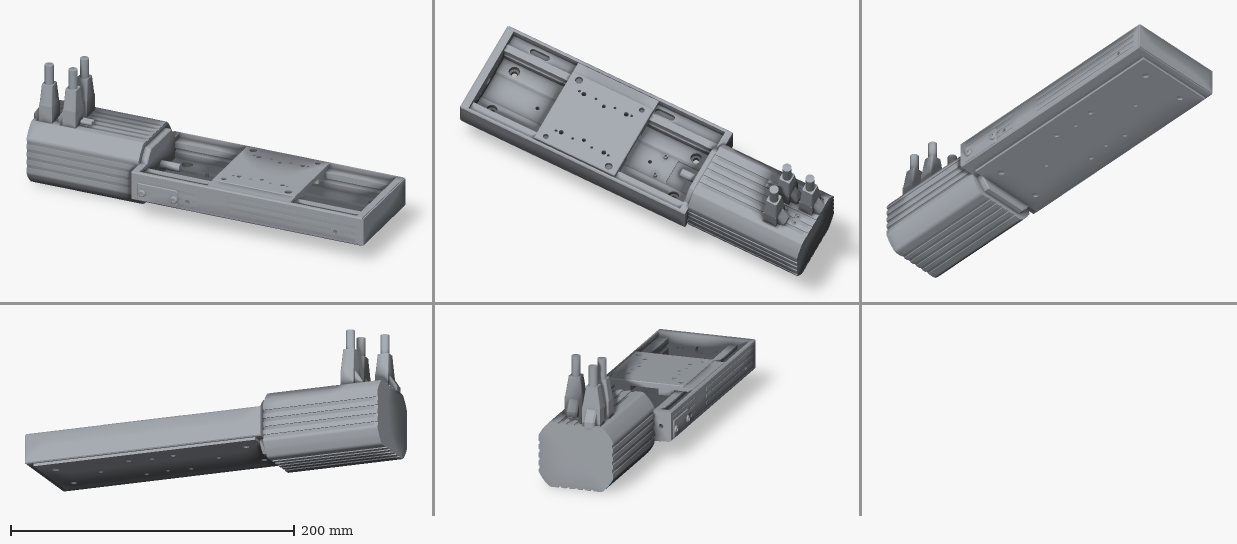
import cadquery as cq


motor_x0 = -133.2
motor_x1 = -46.0
motor_radius = 31.0
motor_half_width = 28.0
motor_half_height = 24.0
motor_edge_radius = 4.0
groove_width = 2.7
groove_depth = 0.8
top_groove_pitch = 6.0
side_groove_pitch = 6.1
side_groove_offset = 1.4

end_plate_thickness = 5.0
flange_radius = 26.25
flange_half_height = 20.0
flange_chamfer = 0.7
flange_screw_diameter = 4.0
flange_screw_height = 3.2
flange_screw_y = 25.9
flange_recess_diameter = 6.5
flange_recess_depth = 2.0
flange_screw_z = -7.0

stage_x0 = motor_x1
stage_x1 = 133.1
housing_y_min = -40.3
housing_y_max = 32.55
housing_half_height = 11.0
housing_chamfer = 0.8
cavity_x0 = stage_x0 + end_plate_thickness
cavity_x1 = stage_x1 - end_plate_thickness
end_cap_x1 = 134.11
end_cap_inset = 0.6

rail_half_width = 30.5
rail_bottom_z = -13.0
rail_top_z = 7.0
rail_wall_inner_y = 23.0
rail_floor_z = -5.5
trough_floor_z = -7.0
trough_half_width = 10.0
trough_top_half_width = trough_half_width + rail_floor_z - trough_floor_z
ball_track_z = 1.0
ball_track_radius = 1.6
relief_x1 = -18.2
relief_depth = 1.0
relief_corner = 1.5
rail_bolt_x = (-28.7, 116.6)
rail_bolt_y = 17.0
rail_bolt_diameter = 4.5
rail_bolt_head_diameter = 8.0
rail_bolt_head_depth = 4.0
dowel_x = (-0.9, 89.0)
dowel_diameter = 2.8
post_x = -9.2
post_y = 8.0
post_diameter = 3.0
post_height = 3.0
post_socket_diameter = 2.0
shaft_diameter = 6.0
shaft_x1 = -26.2

tray_y_min = -37.7
tray_y_max = -28.5
tray_floor_z = 4.0
tray_slot_length = 15.3
tray_slot_width = 4.5
tray_slot_y = -33.0
tray_slot_x = (4.6, 104.7)
tray_slot_depth = 3.0

rib_band_top = 9.0
rib_band_count = 7
rib_band_bottom = -9.0
rib_height = (rib_band_top - rib_band_bottom) / rib_band_count
rib_band_depth = 0.3
label_pad_x0 = 5.4
label_pad_x1 = 30.2
side_screw_x = (-2.6, 112.3)
side_screw_z = -3.9
side_screw_diameter = 3.4
side_screw_socket_diameter = 2.0
side_screw_recess = 0.6

cover_x1 = -9.8
cover_z0 = -10.2
cover_z1 = 3.4
cover_y = -41.0
cover_corner = 1.5
cover_screw_x = (-37.4, -12.6)
cover_screw_diameter = 5.5
cover_screw_socket = 2.46
cover_screw_socket_depth = 1.0
cover_screw_rounding = 1.0
cover_chamfer = 0.5
part_y_min = -42.25

carriage_x = 44.0
carriage_length = 64.5
carriage_half_width = 29.5
carriage_top_z = 12.0
carriage_bottom_z = 8.0
carriage_chamfer = 0.5
carriage_wing_y = -37.3
carriage_wing_z = 11.0
leg_inner_y = 10.5
leg_outer_y = 22.3
leg_bottom_z = 3.5
lug_height = 1.6
table_hole_half_pitch = 17.0
table_hole_diameter = 3.4
table_dowel_y = 15.0
table_dowel_diameter = 2.8
table_tap_y = 17.6
table_tap_offsets = (7.6, 20.9)
table_tap_diameter = 2.0
table_corner_x = 25.1
table_corner_y = 25.0
table_large_diameter = 5.5
table_small_diameter = 4.0
table_blind_depth = 3.0

end_bore_diameter = 6.0
end_bore_depth = 5.5
end_tap_diameter = 1.57
end_tap_y = (16.0, 12.0, -13.0)
end_tap_depth = 3.0
motor_plate_hole_y = -33.0
motor_plate_hole_diameter = 3.4

plug_positions = ((-123.7, -9.75), (-105.3, -9.75), (-105.3, 9.75))
cable_diameter = 6.5
cable_top_z = 66.0
boot_length = 10.0
boot_width = 13.6
boot_tip_length = 8.4
boot_tip_width = 8.6
boot_corner = 1.2
boot_shoulder_z = 36.0
boot_tip_z = 51.5
latch_reach = 10.41
latch_width = 8.4
latch_tip_z = 27.0
latch_top_z = 35.0
latch_chamfer = 1.2
socket_depth = 1.0
socket_width = 16.3
socket_back = 7.0
socket_front = 5.6
indicator_x = -120.7
indicator_y = 5.0
indicator_length = 10.0
indicator_width = 4.5
indicator_hole_pitch = 5.0
indicator_hole_diameter = 2.0
pin_x0 = -98.4
pin_x1 = -89.9
pin_y = (-7.5, -10.8)
pin_z = 26.6
pin_diameter = 3.24
pin_stem_diameter = 2.0


def block(x0, x1, y0, y1, z0, z1):
    return cq.Workplane("XY").box(x1 - x0, y1 - y0, z1 - z0, centered=False).translate((x0, y0, z0))


def cylinder_x(x0, x1, y, z, diameter):
    return cq.Workplane("YZ", origin=(x0, y, z)).circle(diameter / 2).extrude(x1 - x0)


def cylinder_y(x, y0, y1, z, diameter):
    return cq.Workplane("XZ", origin=(x, y1, z)).circle(diameter / 2).extrude(y1 - y0)


def cylinder_z(x, y, z0, z1, diameter):
    return cq.Workplane("XY", origin=(x, y, z0)).circle(diameter / 2).extrude(z1 - z0)


def prism_x(points, x0, x1):
    return cq.Workplane("YZ", origin=(x0, 0, 0)).polyline(points).close().extrude(x1 - x0)


def make_motor():
    length = motor_x1 - motor_x0
    body = cylinder_x(motor_x0, motor_x1, 0, 0, 2 * motor_radius)
    flats = block(
        motor_x0, motor_x1, -motor_half_width, motor_half_width, -motor_half_height, motor_half_height
    )
    body = body.intersect(flats).edges("|X").fillet(motor_edge_radius)
    centre_x = (motor_x0 + motor_x1) / 2
    for step in (-2, -1, 0, 1, 2):
        for side in (-1, 1):
            groove = cq.Workplane("XY").box(length, groove_width, 2 * groove_depth)
            body = body.cut(groove.translate((centre_x, step * top_groove_pitch, side * motor_half_height)))
    for step in (-1.5, -0.5, 0.5, 1.5):
        for side in (-1, 1):
            z = step * side_groove_pitch - side * side_groove_offset
            groove = cq.Workplane("XY").box(length, 2 * groove_depth, groove_width)
            body = body.cut(groove.translate((centre_x, side * motor_half_width, z)))
    for x, y in plug_positions:
        half = socket_width / 2
        floor_z = motor_half_height - socket_depth
        socket = block(x - socket_back, x + socket_front, y - half, y + half, floor_z, motor_half_height)
        body = body.cut(socket)
    return body.cut(make_indicator_recess())


def make_indicator_recess():
    recess = (
        cq.Workplane("XY", origin=(indicator_x, indicator_y, motor_half_height - socket_depth))
        .slot2D(indicator_length, indicator_width, 90)
        .extrude(socket_depth)
    )
    for side in (-1, 1):
        y = indicator_y + side * indicator_hole_pitch / 2
        hole_bottom = motor_half_height - 2 * socket_depth
        recess = recess.union(
            cylinder_z(indicator_x, y, hole_bottom, motor_half_height, indicator_hole_diameter)
        )
    return recess


def make_plug(x, y):
    floor_z = motor_half_height - socket_depth
    half_length = boot_length / 2
    half_width = boot_width / 2
    base = block(
        x - half_length, x + half_length, y - half_width, y + half_width, floor_z, boot_shoulder_z
    )
    lower = cq.Sketch().rect(boot_length, boot_width).vertices().fillet(boot_corner)
    upper = cq.Sketch().rect(boot_tip_length, boot_tip_width).vertices().fillet(boot_corner)
    taper = (
        cq.Workplane("XY", origin=(x, y, boot_shoulder_z))
        .placeSketch(lower, upper.moved(cq.Location(cq.Vector(0, 0, boot_tip_z - boot_shoulder_z))))
        .loft()
    )
    latch_outline = [
        (x, floor_z),
        (x - latch_reach, floor_z),
        (x - latch_reach, latch_tip_z),
        (x - half_length, latch_top_z),
        (x, latch_top_z),
    ]
    latch = (
        cq.Workplane("XZ", origin=(0, y + latch_width / 2, 0))
        .polyline(latch_outline)
        .close()
        .extrude(latch_width)
    )
    slope = cq.Vector(latch_reach - half_length, 0, latch_top_z - latch_tip_z)
    bevelled = latch.edges("|Z and <X").add(latch.edges(cq.selectors.ParallelDirSelector(slope)))
    latch = bevelled.chamfer(latch_chamfer)
    cable = cylinder_z(x, y, boot_tip_z, cable_top_z, cable_diameter)
    return base.union(taper).union(latch).union(cable)


def make_pin(y):
    pin = cylinder_x(pin_x0, pin_x1, y, pin_z, pin_diameter)
    stem_z0 = motor_half_height - 2 * groove_depth
    stem = cylinder_z((pin_x0 + pin_x1) / 2, y, stem_z0, pin_z, pin_stem_diameter)
    return pin.union(stem)


def make_flange():
    flange = cylinder_x(stage_x0, cavity_x0, 0, 0, 2 * flange_radius)
    flats = block(
        stage_x0, cavity_x0, -flange_radius, flange_radius, -flange_half_height, flange_half_height
    )
    flange = flange.intersect(flats).faces(">X").edges().chamfer(flange_chamfer)
    return flange


def add_flange_screws(body):
    recess_x1 = stage_x0 + flange_recess_depth
    screw_x0 = stage_x0 - flange_screw_height
    for side in (-1, 1):
        y = side * flange_screw_y
        body = body.cut(cylinder_x(stage_x0, recess_x1, y, flange_screw_z, flange_recess_diameter))
        body = body.union(cylinder_x(screw_x0, recess_x1, y, flange_screw_z, flange_screw_diameter))
    return body


def make_housing():
    shell = block(
        stage_x0, stage_x1, housing_y_min, housing_y_max, -housing_half_height, housing_half_height
    )
    shell = shell.edges("|X").chamfer(housing_chamfer)
    shell = shell.cut(
        block(cavity_x0, cavity_x1, -rail_half_width, rail_half_width, rail_bottom_z, housing_half_height)
    )
    tray = block(cavity_x0, cavity_x1, tray_y_min, tray_y_max, tray_floor_z, housing_half_height)
    for x in tray_slot_x:
        slot = (
            cq.Workplane("XY", origin=(x, tray_slot_y, tray_floor_z - tray_slot_depth))
            .slot2D(tray_slot_length, tray_slot_width)
            .extrude(tray_slot_depth)
        )
        tray = tray.union(slot)
    cap = block(
        stage_x1,
        end_cap_x1,
        housing_y_min + end_cap_inset,
        housing_y_max - end_cap_inset,
        -housing_half_height + end_cap_inset,
        housing_half_height - end_cap_inset,
    )
    return shell.union(make_rail()).cut(tray).union(cap).cut(make_end_plate_holes())


def make_end_plate_holes():
    holes = cylinder_x(cavity_x1, cavity_x1 + end_bore_depth, 0, 0, end_bore_diameter)
    for y in end_tap_y:
        holes = holes.union(cylinder_x(cavity_x1, cavity_x1 + end_tap_depth, y, 0, end_tap_diameter))
    return holes.union(cylinder_x(stage_x0, cavity_x0, motor_plate_hole_y, 0, motor_plate_hole_diameter))


def make_rail():
    profile = [
        (-rail_half_width, rail_bottom_z),
        (rail_half_width, rail_bottom_z),
        (rail_half_width, rail_top_z),
        (rail_wall_inner_y, rail_top_z),
        (rail_wall_inner_y, rail_floor_z),
        (trough_top_half_width, rail_floor_z),
        (trough_half_width, trough_floor_z),
        (-trough_half_width, trough_floor_z),
        (-trough_top_half_width, rail_floor_z),
        (-rail_wall_inner_y, rail_floor_z),
        (-rail_wall_inner_y, rail_top_z),
        (-rail_half_width, rail_top_z),
    ]
    rail = prism_x(profile, cavity_x0, cavity_x1)
    for side in (-1, 1):
        y = side * rail_wall_inner_y
        rail = rail.cut(cylinder_x(cavity_x0, cavity_x1, y, ball_track_z, 2 * ball_track_radius))
    relief = block(
        cavity_x0,
        relief_x1,
        -trough_half_width,
        trough_half_width,
        trough_floor_z - relief_depth,
        trough_floor_z,
    )
    rail = rail.cut(relief.edges(">X and |Z").fillet(relief_corner))
    for x in rail_bolt_x:
        for side in (-1, 1):
            y = side * rail_bolt_y
            head_z = rail_floor_z - rail_bolt_head_depth
            rail = rail.cut(cylinder_z(x, y, rail_bottom_z, rail_floor_z, rail_bolt_diameter))
            rail = rail.cut(cylinder_z(x, y, head_z, rail_floor_z, rail_bolt_head_diameter))
    for x in dowel_x:
        rail = rail.cut(cylinder_z(x, 0, rail_bottom_z, trough_floor_z, dowel_diameter))
    for side in (-1, 1):
        y = side * post_y
        post_top = trough_floor_z + post_height
        rail = rail.union(cylinder_z(post_x, y, trough_floor_z, post_top, post_diameter))
        rail = rail.cut(cylinder_z(post_x, y, trough_floor_z, post_top, post_socket_diameter))
    return rail


def cut_side_face(body):
    face_y = housing_y_min + rib_band_depth
    band = block(cavity_x0, cavity_x1, housing_y_min, face_y, rib_band_bottom, rib_band_top)
    for index in range(1, rib_band_count, 2):
        rib_top = rib_band_top - index * rib_height
        for x0, x1 in ((cavity_x0, label_pad_x0), (label_pad_x1, cavity_x1)):
            band = band.cut(block(x0, x1, housing_y_min, face_y, rib_top - rib_height, rib_top))
    body = body.cut(band)
    for x in side_screw_x:
        recess_y = face_y + side_screw_recess
        body = body.cut(cylinder_y(x, housing_y_min, recess_y, side_screw_z, side_screw_diameter))
        socket_y = recess_y + side_screw_recess
        body = body.cut(cylinder_y(x, recess_y, socket_y, side_screw_z, side_screw_socket_diameter))
    return body


def make_cover():
    cover = block(cavity_x0, cover_x1, cover_y, housing_y_min + rib_band_depth, cover_z0, cover_z1)
    cover = cover.edges(">X and |Y").chamfer(cover_corner).faces("<Y").edges().chamfer(cover_chamfer)
    for x in cover_screw_x:
        screw = cylinder_y(x, part_y_min, cover_y, side_screw_z, cover_screw_diameter)
        screw = screw.faces("<Y").edges().fillet(cover_screw_rounding)
        socket_y = part_y_min + cover_screw_socket_depth
        screw = screw.cut(cylinder_y(x, part_y_min, socket_y, side_screw_z, cover_screw_socket))
        cover = cover.union(screw)
    return cover


def make_carriage():
    x0 = carriage_x - carriage_length / 2
    x1 = carriage_x + carriage_length / 2
    table = block(x0, x1, -carriage_half_width, carriage_half_width, carriage_bottom_z, carriage_top_z)
    table = table.faces(">Z").edges().chamfer(carriage_chamfer)
    carriage = table.union(
        block(x0, x1, carriage_wing_y, -carriage_half_width, carriage_bottom_z, carriage_wing_z)
    )
    for side in (-1, 1):
        y0, y1 = sorted((side * leg_inner_y, side * leg_outer_y))
        carriage = carriage.union(block(x0, x1, y0, y1, leg_bottom_z, carriage_bottom_z))
        lug_y0, lug_y1 = sorted((side * leg_outer_y, side * rail_wall_inner_y))
        carriage = carriage.union(
            block(x0, x1, lug_y0, lug_y1, leg_bottom_z, leg_bottom_z + lug_height)
        )
    return carriage


def make_table_holes():
    holes = cq.Workplane("XY")
    blind_z = carriage_top_z - table_blind_depth
    for sx in (-1, 1):
        for sy in (-1, 1):
            x = carriage_x + sx * table_hole_half_pitch
            y = sy * table_hole_half_pitch
            holes = holes.add(cylinder_z(x, y, rail_bottom_z, carriage_top_z, table_hole_diameter))
            for offset in table_tap_offsets:
                x = carriage_x + sx * offset
                holes = holes.add(
                    cylinder_z(x, sy * table_tap_y, blind_z, carriage_top_z, table_tap_diameter)
                )
            diameter = table_small_diameter if sx == sy else table_large_diameter
            x = carriage_x + sx * table_corner_x
            holes = holes.add(cylinder_z(x, sy * table_corner_y, blind_z, carriage_top_z, diameter))
    for sy in (-1, 1):
        y = sy * table_dowel_y
        holes = holes.add(cylinder_z(carriage_x, y, rail_bottom_z, carriage_top_z, table_dowel_diameter))
    return holes.combine()


result = make_motor().union(make_flange())
for plug_x, plug_y in plug_positions:
    result = result.union(make_plug(plug_x, plug_y))
for y in pin_y:
    result = result.union(make_pin(y))
result = result.union(cut_side_face(make_housing())).union(make_cover())
result = result.union(cylinder_x(cavity_x0, shaft_x1, 0, 0, shaft_diameter))
result = add_flange_screws(result)
result = result.union(make_carriage()).cut(make_table_holes())